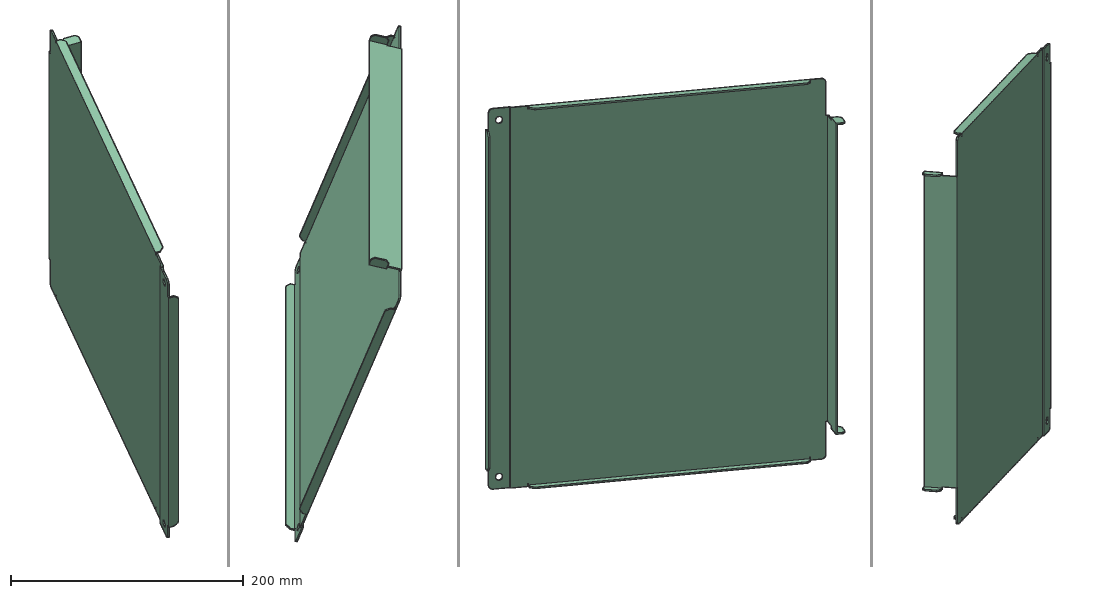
import cadquery as cq

length = 313.0
depth = 30.5
height = 347.0
sheet = 1.5
top = height / 2

panel_left = 10.0
jog_offset = 1.5
jog_left = 290.5
jog_right = 292.2
jog_slope = 0.7
corner_radius = 3.8
strip_right = 310.5
panel_back = jog_offset + sheet

hole_diameter = 6.2
hole_x = 301.2
hole_inset = 10.8

lip_depth = 9.7
right_lip_depth = 9.0
lip_chamfer = 3.8
lip_left = 24.5
lip_right = 275.5
right_lip_inset = 18.7
relief_width = 0.7
relief_depth = 2.8

flange_left = 7.3
tab_inset = 31.5
flange_inset = 34.0
tab_front = 14.5
tab_chamfer = 2.8


def block(x_range, y_range, z_range):
    """Axis-aligned box between pairs of coordinates."""
    start, end = zip(x_range, y_range, z_range)
    size = [b - a for a, b in zip(start, end)]
    return cq.Workplane("XY").box(*size, centered=False).translate(start)


def make_panel():
    """Panel and stepped strip, with rounded corners and mounting holes."""
    section = [
        (panel_left, jog_offset),
        (jog_left, jog_offset),
        (jog_left + jog_slope, 0),
        (strip_right, 0),
        (strip_right, sheet),
        (jog_right, sheet),
        (jog_right - jog_slope, panel_back),
        (panel_left, panel_back),
    ]
    panel = cq.Workplane("XY").polyline(section).close().extrude(height).translate((0, 0, -top))
    panel = panel.edges("|Y and (<X or >X)").fillet(corner_radius)
    hole_z = top - hole_inset
    holes = (
        cq.Workplane("XZ")
        .pushPoints([(hole_x, hole_z), (hole_x, -hole_z)])
        .circle(hole_diameter / 2)
        .extrude(-sheet)
    )
    return panel.cut(holes)


def make_top_lip():
    """Top lip with chamfered free corners."""
    lip = block((lip_left, lip_right), (jog_offset, lip_depth), (top - sheet, top))
    return lip.edges("|Z and >Y").chamfer(lip_chamfer)


def make_lip_reliefs():
    """Narrow slots through the top of the panel at both ends of the lip."""
    left = block((lip_left - relief_width, lip_left), (0, panel_back), (top - relief_depth, top))
    right = block((lip_right, lip_right + relief_width), (0, panel_back), (top - relief_depth, top))
    return left.union(right)


def make_right_lip():
    """Right lip with chamfered free corners, and the small web that joins it to the strip."""
    lip_top = top - right_lip_inset
    lip = block((length - sheet, length), (0, right_lip_depth), (-lip_top, lip_top))
    lip = lip.edges("|X and >Y").chamfer(lip_chamfer)
    web = block((strip_right - sheet, length), (0, sheet), (-lip_top, lip_top))
    return lip.union(web)


def make_left_flange():
    """Left flange and the web that joins it to the panel."""
    flange_top = top - flange_inset
    z_range = (-flange_top, flange_top)
    flange = block((flange_left, flange_left + sheet), (jog_offset, depth), z_range)
    web = block((flange_left, panel_left + sheet), (jog_offset, panel_back), z_range)
    return flange.union(web)


def make_upper_tab():
    """Tab at the upper end of the left flange, with chamfered free corners."""
    tab_top = top - tab_inset
    tab = block((0, flange_left + sheet), (tab_front, depth), (tab_top - sheet, tab_top))
    tab = tab.edges("|Z and <X").chamfer(tab_chamfer)
    root = block(
        (flange_left, flange_left + sheet),
        (tab_front, depth),
        (top - flange_inset - sheet, tab_top),
    )
    return tab.union(root)


result = make_panel().union(make_right_lip()).union(make_left_flange())
for feature in (make_top_lip(), make_upper_tab()):
    result = result.union(feature).union(feature.mirror("XY"))
reliefs = make_lip_reliefs()
result = result.cut(reliefs).cut(reliefs.mirror("XY"))